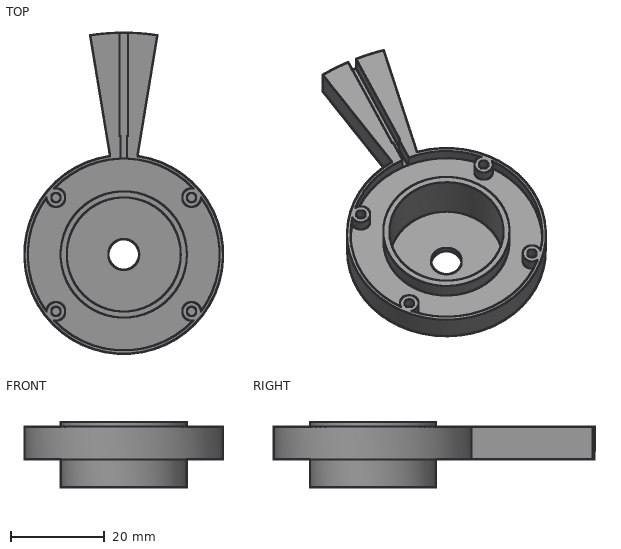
import cadquery as cq
import math

hub_drop = 6.0
disc_thickness = 7.0
hub_rise = 1.0
hub_floor = 1.5
recess_depth = 3.0
disc_top = hub_drop + disc_thickness
hub_height = disc_top + hub_rise

overall_length = 68.7
disc_diameter = 42.55
recess_diameter = 41.0
hub_diameter = 27.0
bore_diameter = 24.4
center_hole_diameter = 6.5

post_diameter = 4.0
post_hole_diameter = 2.0
post_x = 14.5
post_y = 12.15

lever_tip_radius = overall_length - disc_diameter / 2
lever_tip_half_width = 7.2
lever_root_half_width = 2.95
lever_root_y = math.sqrt((disc_diameter / 2) ** 2 - lever_root_half_width ** 2)
lever_tip_y = math.sqrt(lever_tip_radius ** 2 - lever_tip_half_width ** 2)
lever_start_y = 17.2

slot_depth = 4.0
slot_width = 1.85
slot_neck_width = 1.45
slot_step_y = 25.35


def cylinder(diameter, bottom, top):
    return cq.Workplane("XY").workplane(offset=bottom).circle(diameter / 2).extrude(top - bottom)


def make_lever():
    return (
        cq.Workplane("XY").workplane(offset=hub_drop)
        .moveTo(-lever_root_half_width, lever_start_y)
        .lineTo(-lever_root_half_width, lever_root_y)
        .lineTo(-lever_tip_half_width, lever_tip_y)
        .threePointArc((0, lever_tip_radius), (lever_tip_half_width, lever_tip_y))
        .lineTo(lever_root_half_width, lever_root_y)
        .lineTo(lever_root_half_width, lever_start_y)
        .close()
        .extrude(disc_thickness)
    )


def slot_section(width, start_y, end_y):
    length = end_y - start_y
    return (
        cq.Workplane("XY").workplane(offset=disc_top - slot_depth)
        .center(0, start_y + length / 2)
        .rect(width, length)
        .extrude(slot_depth)
    )


def at_posts(bottom, diameter):
    return (
        cq.Workplane("XY").workplane(offset=bottom)
        .rect(2 * post_x, 2 * post_y, forConstruction=True)
        .vertices()
        .circle(diameter / 2)
        .extrude(disc_top - bottom)
    )


recess_floor = disc_top - recess_depth

body = cylinder(disc_diameter, hub_drop, disc_top).union(make_lever())
body = body.cut(cylinder(recess_diameter, recess_floor, disc_top))

slot = slot_section(slot_neck_width, lever_start_y, slot_step_y)
slot = slot.union(slot_section(slot_width, slot_step_y, lever_tip_radius))
slot = slot.cut(cylinder(recess_diameter, hub_drop, disc_top))
body = body.cut(slot)

body = body.union(at_posts(recess_floor, post_diameter))
body = body.cut(at_posts(recess_floor, post_hole_diameter))

body = body.union(cylinder(hub_diameter, 0, hub_height))
body = body.cut(cylinder(bore_diameter, hub_floor, hub_height))
body = body.cut(cylinder(center_hole_diameter, 0, hub_floor))

result = body